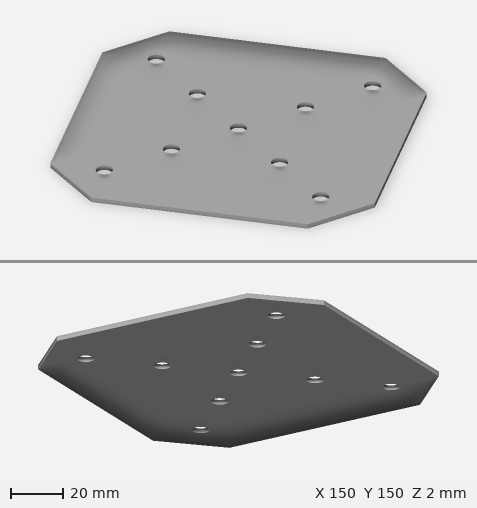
import cadquery as cq

plate_size = 150.0
plate_thickness = 2.0
corner_cut = 60.0
hole_diameter = 6.6
hole_pitch = 30.0
holes_per_arm = 2

plate = (
    cq.Workplane("XY")
    .rect(plate_size, plate_size)
    .extrude(plate_thickness)
    .edges("|Z")
    .chamfer(corner_cut)
)

hole_centers = [(0, 0)]
for step in range(1, holes_per_arm + 1):
    offset = step * hole_pitch
    hole_centers += [(offset, 0), (-offset, 0), (0, offset), (0, -offset)]

result = plate.faces(">Z").workplane(origin=(0, 0, 0)).pushPoints(hole_centers).hole(hole_diameter)